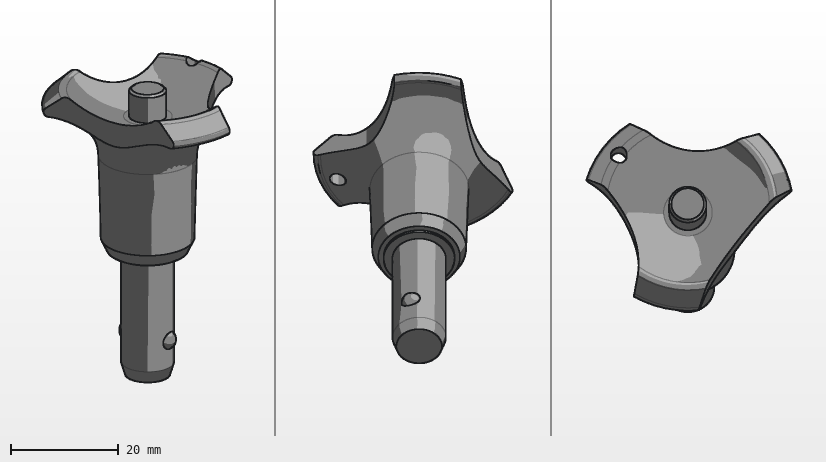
import cadquery as cq
import math

total_height = 57.9

pin_radius = 5.0
tip_radius = 4.2
tip_height = 2.55
ball_radius = 1.9
ball_height = 7.9
ball_reach = 5.95

collar_radius = 6.6
collar_bottom = 24.65
sleeve_bottom = 25.2
sleeve_end_radius = 7.6
taper_bottom = 27.6
taper_bottom_radius = 8.75
taper_top = 44.3
taper_top_radius = 9.2
flare_radius = 9.15

handle_radius = 19.6
edge_height = 55.1
edge_bottom_radius = 18.8
crest_outer_radius = 16.6
crest_inner_radius = 15.1
crest_drop = 0.35

floor_height = 52.15
floor_radius = 4.5
dish_radius = 22.0
button_radius = 3.5
button_top = 57.7
button_chamfer = 0.45

side_scallop_radius = 19.1
side_scallop_depth_radius = 11.2
side_scallop_angle = 32.0
front_scallop_radius = 49.8
front_scallop_depth_radius = 11.2

hole_radius = 1.5
hole_offset = 16.0


def revolved_body():
    """Pin, sleeve and full round handle from one half section."""
    flare_end_radius = taper_top_radius + flare_radius
    flare_end_height = taper_top + flare_radius
    flare_mid_offset = flare_radius * math.sqrt(0.5)
    flare_mid = (flare_end_radius - flare_mid_offset, taper_top + flare_mid_offset)
    edge_mid_height = (edge_height + flare_end_height) / 2
    crest_mid_radius = (crest_outer_radius + crest_inner_radius) / 2
    crest_height = total_height - crest_drop

    dish_center = floor_height + math.sqrt(dish_radius**2 - floor_radius**2)
    dish_mid_radius = (floor_radius + crest_inner_radius) / 2
    dish_mid_height = dish_center - math.sqrt(dish_radius**2 - dish_mid_radius**2)

    section = (
        cq.Workplane("XZ")
        .lineTo(tip_radius, 0)
        .lineTo(pin_radius, tip_height)
        .lineTo(pin_radius, collar_bottom)
        .lineTo(collar_radius, collar_bottom)
        .lineTo(collar_radius, sleeve_bottom)
        .lineTo(sleeve_end_radius, sleeve_bottom)
        .lineTo(taper_bottom_radius, taper_bottom)
        .lineTo(taper_top_radius, taper_top)
        .threePointArc(flare_mid, (flare_end_radius, flare_end_height))
        .lineTo(edge_bottom_radius, flare_end_height)
        .threePointArc((handle_radius, edge_mid_height), (handle_radius - crest_drop, edge_height))
        .lineTo(crest_outer_radius, crest_height)
        .threePointArc((crest_mid_radius, total_height), (crest_inner_radius, crest_height))
        .threePointArc((dish_mid_radius, dish_mid_height), (floor_radius, floor_height))
        .lineTo(0, floor_height)
        .close()
    )
    return section.revolve(360, (0, 0, 0), (0, 1, 0))


def scallop(radius, depth_radius, angle):
    """Upright cylinder that trims the handle at the given angle around Z."""
    distance = radius + depth_radius
    x = distance * math.cos(math.radians(angle))
    y = distance * math.sin(math.radians(angle))
    return (
        cq.Workplane("XY", origin=(x, y, taper_top))
        .circle(radius)
        .extrude(total_height - taper_top)
    )


def button():
    return (
        cq.Workplane("XY", origin=(0, 0, floor_height))
        .circle(button_radius)
        .extrude(button_top - floor_height)
        .faces(">Z")
        .chamfer(button_chamfer)
    )


def locking_ball(side):
    x = side * (ball_reach - ball_radius)
    return cq.Workplane("XY", origin=(x, 0, ball_height)).sphere(ball_radius)


def lanyard_hole():
    return (
        cq.Workplane("XY", origin=(0, hole_offset, taper_top))
        .circle(hole_radius)
        .extrude(total_height - taper_top)
    )


result = revolved_body()

for scallop_angle in (side_scallop_angle, 180 - side_scallop_angle):
    result = result.cut(scallop(side_scallop_radius, side_scallop_depth_radius, scallop_angle))
result = result.cut(scallop(front_scallop_radius, front_scallop_depth_radius, -90))

result = result.cut(lanyard_hole())
result = result.union(button())
for ball_side in (-1, 1):
    result = result.union(locking_ball(ball_side))